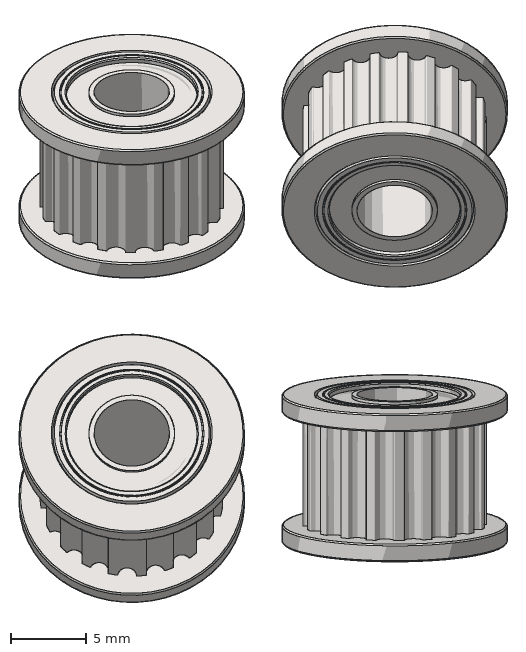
import cadquery as cq
import math

WIDTH = 10.0
FLANGE_RADIUS = 7.5
FLANGE_THICKNESS = 1.2
EDGE_CHAMFER = 0.1

TOOTH_COUNT = 20
BARREL_RADIUS = 6.11
GROOVE_RADIUS = 0.625
TOOTH_TIP_FILLET = 0.06

BEARING_RADIUS = 5.25
BEARING_SEAM_HALF_WIDTH = 0.1
BEARING_SEAM_DEPTH = 0.2
SHIELD_GAP_OUTER_RADIUS = 4.8
SHIELD_GAP_INNER_RADIUS = 4.7
SHIELD_GAP_DEPTH = 0.1
RECESS_RADIUS = 4.35
RECESS_DEPTH = 0.35
RECESS_CHAMFER = 0.08
DOME_OUTER_RADIUS = 4.03
DOME_INNER_RADIUS = 2.85
DOME_INNER_DEPTH = 0.2
BORE_RADIUS = 2.5


def make_barrel():
    """Grooved barrel between the flanges, with rounded tooth tips."""
    barrel_length = WIDTH - 2 * FLANGE_THICKNESS
    barrel_base = cq.Workplane("XY").workplane(offset=FLANGE_THICKNESS)
    grooves = (
        barrel_base.polarArray(BARREL_RADIUS, 0, 360, TOOTH_COUNT)
        .circle(GROOVE_RADIUS)
        .extrude(barrel_length)
    )
    barrel = barrel_base.circle(BARREL_RADIUS).extrude(barrel_length).cut(grooves)
    return barrel.edges("|Z").fillet(TOOTH_TIP_FILLET)


def make_flange(base):
    """Plain disc standing on height base, chamfered around both rims."""
    return (
        cq.Workplane("XY")
        .workplane(offset=base)
        .circle(FLANGE_RADIUS)
        .extrude(FLANGE_THICKNESS)
        .edges()
        .chamfer(EDGE_CHAMFER)
    )


def revolve_profile(profile):
    """Turn a closed radius-height profile into a solid of revolution about Z."""
    return profile.close().revolve(360, (0, 0, 0), (0, 1, 0))


def make_bearing_seam_cut():
    """V-groove where the bearing meets the flange."""
    return revolve_profile(
        cq.Workplane("XZ")
        .moveTo(BEARING_RADIUS - BEARING_SEAM_HALF_WIDTH, WIDTH)
        .lineTo(BEARING_RADIUS, WIDTH - BEARING_SEAM_DEPTH)
        .lineTo(BEARING_RADIUS + BEARING_SEAM_HALF_WIDTH, WIDTH)
    )


def make_shield_gap_cut():
    """Narrow ring groove between the bearing's outer ring and its shield."""
    return (
        cq.Workplane("XY")
        .workplane(offset=WIDTH)
        .circle(SHIELD_GAP_OUTER_RADIUS)
        .circle(SHIELD_GAP_INNER_RADIUS)
        .extrude(-SHIELD_GAP_DEPTH)
    )


def make_recess_cut():
    """Ring recess with a chamfered mouth and a floor domed up to the inner ring."""
    floor = WIDTH - RECESS_DEPTH
    dome_top = WIDTH - DOME_INNER_DEPTH

    dome_run = DOME_OUTER_RADIUS - DOME_INNER_RADIUS
    dome_drop = dome_top - floor
    arc_radius = (dome_run**2 + dome_drop**2) / (2 * dome_drop)
    half_run = dome_run / 2
    mid_drop = arc_radius - math.sqrt(arc_radius**2 - half_run**2)
    dome_middle = (DOME_INNER_RADIUS + half_run, dome_top - mid_drop)

    return revolve_profile(
        cq.Workplane("XZ")
        .moveTo(DOME_INNER_RADIUS, WIDTH)
        .lineTo(DOME_INNER_RADIUS, dome_top)
        .threePointArc(dome_middle, (DOME_OUTER_RADIUS, floor))
        .lineTo(RECESS_RADIUS, floor)
        .lineTo(RECESS_RADIUS, WIDTH - RECESS_CHAMFER)
        .lineTo(RECESS_RADIUS + RECESS_CHAMFER, WIDTH)
    )


def cut_both_ends(body, cutter):
    """Cut the top face, and the bottom face with the cutter's mirror image."""
    mirrored = cutter.mirror("XY", (0, 0, WIDTH / 2))
    return body.cut(cutter).cut(mirrored)


result = make_barrel()
for flange_base in (0, WIDTH - FLANGE_THICKNESS):
    result = result.union(make_flange(flange_base))

for end_cut in (make_bearing_seam_cut(), make_shield_gap_cut(), make_recess_cut()):
    result = cut_both_ends(result, end_cut)

bore = cq.Workplane("XY").circle(BORE_RADIUS).extrude(WIDTH)
result = result.cut(bore)